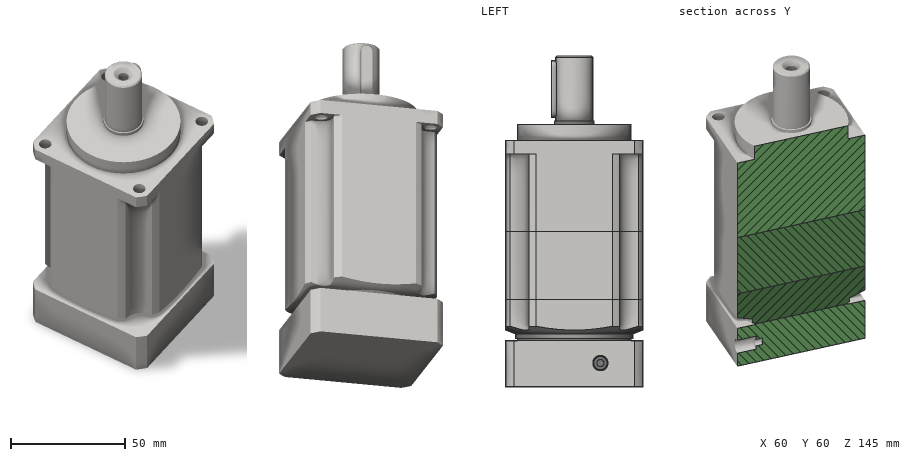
import cadquery as cq
import math

SQUARE = 60.0
HALF = SQUARE / 2
CORNER_RADIUS = 40.0
BODY_RADIUS = 34.4

ADAPTER_TOP = 20.3
NECK_STEP = 21.2
REAR_BOTTOM = 23.2
REAR_TOP = 38.3
RING_TOP = 68.2
FLANGE_BOTTOM = 102.0
FLANGE_TOP = 108.0
PILOT_TOP = 115.0
COLLAR_TOP = 116.6
SHAFT_TOP = 145.0

PILOT_RADIUS = 25.0
NECK_RADIUS = 25.7
THIN_NECK_RADIUS = 25.0
CONE_ANGLE = 21.0

HOLE_SPACING = 49.5
HOLE_DIAMETER = 5.5
GROOVE_RADIUS = 5.0

SHAFT_RADIUS = 8.1
COLLAR_RADIUS = 8.7
SHAFT_CHAMFER = 0.6
CENTRE_MOUTH_RADIUS = 4.4
CENTRE_CONE_RADIUS = 3.9
CENTRE_HOLE_RADIUS = 2.3
CENTRE_CONE_START = 0.3
CENTRE_CONE_END = 1.9
CENTRE_HOLE_DEPTH = 11.6
CENTRE_TIP_DEPTH = 13.0

KEY_WIDTH = 5.0
KEY_HEIGHT = 5.0
KEY_LENGTH = 25.0
KEY_BOTTOM = 118.0
KEY_OUTER_Y = 10.0

ACCESS_Y = -11.5
ACCESS_Z = 10.5
ACCESS_RADIUS = 3.3
ACCESS_DEPTH = 8.7
HEAD_BEVEL = 0.5
SOCKET_RADIUS = 1.6
SOCKET_DEPTH = 2.9


def cylinder(radius, bottom, top):
    return cq.Workplane("XY", origin=(0, 0, bottom)).circle(radius).extrude(top - bottom)


def trimmed_square(radius, bottom, top):
    """A square block whose corners are turned to the given radius."""
    block = cq.Workplane("XY", origin=(0, 0, bottom)).rect(SQUARE, SQUARE).extrude(top - bottom)
    return block.intersect(cylinder(radius, bottom, top))


def corner_grooves(bottom, top):
    """Round-bottomed grooves, open to the outside, along the four corners."""
    centre = HOLE_SPACING / 2
    inner = centre - GROOVE_RADIUS
    outer = SQUARE
    turn = GROOVE_RADIUS * math.sqrt(0.5)
    groove = (
        cq.Workplane("XY", origin=(0, 0, bottom))
        .moveTo(inner, outer)
        .lineTo(inner, centre)
        .threePointArc((centre - turn, centre - turn), (centre, inner))
        .lineTo(outer, inner)
        .lineTo(outer, outer)
        .close()
        .extrude(top - bottom)
    )
    grooves = groove
    for quarter in range(1, 4):
        grooves = grooves.union(groove.rotate((0, 0, 0), (0, 0, 1), 90 * quarter))
    return grooves


def grooved_body(bottom, top):
    return trimmed_square(BODY_RADIUS, bottom, top).cut(corner_grooves(bottom, top))


def make_front_housing():
    flange = trimmed_square(CORNER_RADIUS, FLANGE_BOTTOM, FLANGE_TOP)
    holes = (
        cq.Workplane("XY", origin=(0, 0, FLANGE_BOTTOM))
        .rect(HOLE_SPACING, HOLE_SPACING, forConstruction=True)
        .vertices()
        .circle(HOLE_DIAMETER / 2)
        .extrude(FLANGE_TOP - FLANGE_BOTTOM)
    )
    pilot = cylinder(PILOT_RADIUS, FLANGE_TOP, PILOT_TOP)
    return grooved_body(RING_TOP, FLANGE_BOTTOM).union(flange.cut(holes)).union(pilot)


def make_ring_gear():
    return grooved_body(REAR_TOP, RING_TOP)


def make_rear_housing():
    """Grooved block with a conical underside and a stepped round neck."""
    cone_rise = (BODY_RADIUS - NECK_RADIUS) * math.tan(math.radians(CONE_ANGLE))
    envelope = (
        cq.Workplane("XZ")
        .moveTo(0, REAR_BOTTOM)
        .lineTo(NECK_RADIUS, REAR_BOTTOM)
        .lineTo(BODY_RADIUS, REAR_BOTTOM + cone_rise)
        .lineTo(BODY_RADIUS, REAR_TOP)
        .lineTo(0, REAR_TOP)
        .close()
        .revolve(360, (0, 0, 0), (0, 1, 0))
    )
    block = grooved_body(REAR_BOTTOM, REAR_TOP).intersect(envelope)
    neck = cylinder(NECK_RADIUS, NECK_STEP, REAR_BOTTOM)
    thin_neck = cylinder(THIN_NECK_RADIUS, ADAPTER_TOP, NECK_STEP)
    return block.union(neck).union(thin_neck)


def access_hole():
    """Space in front of a bevelled screw head and inside its round socket."""
    return (
        cq.Workplane("XY", origin=(-HALF, ACCESS_Y, ACCESS_Z))
        .lineTo(0, ACCESS_RADIUS)
        .lineTo(ACCESS_DEPTH + HEAD_BEVEL, ACCESS_RADIUS)
        .lineTo(ACCESS_DEPTH, ACCESS_RADIUS - HEAD_BEVEL)
        .lineTo(ACCESS_DEPTH, SOCKET_RADIUS)
        .lineTo(ACCESS_DEPTH + SOCKET_DEPTH, SOCKET_RADIUS)
        .lineTo(ACCESS_DEPTH + SOCKET_DEPTH, 0)
        .close()
        .revolve(360, (0, 0, 0), (1, 0, 0))
    )


def make_adapter():
    return trimmed_square(CORNER_RADIUS, 0, ADAPTER_TOP).cut(access_hole())


def make_key():
    """Round-ended key lying along the +Y side of the shaft."""
    middle_z = KEY_BOTTOM + KEY_LENGTH / 2
    return (
        cq.Workplane("XZ", origin=(0, KEY_OUTER_Y, middle_z))
        .slot2D(KEY_LENGTH, KEY_WIDTH, 90)
        .extrude(KEY_HEIGHT)
    )


def centre_hole():
    """Bevelled mouth, conical seat and drilled hole in the end of the shaft."""
    return (
        cq.Workplane("XZ", origin=(0, 0, SHAFT_TOP))
        .lineTo(CENTRE_MOUTH_RADIUS, 0)
        .lineTo(CENTRE_CONE_RADIUS, -CENTRE_CONE_START)
        .lineTo(CENTRE_HOLE_RADIUS, -CENTRE_CONE_END)
        .lineTo(CENTRE_HOLE_RADIUS, -CENTRE_HOLE_DEPTH)
        .lineTo(0, -CENTRE_TIP_DEPTH)
        .close()
        .revolve(360, (0, 0, 0), (0, 1, 0))
    )


def make_shaft(key):
    """Collared shaft with a key seat and a centre hole in its end."""
    shaft = cylinder(SHAFT_RADIUS, COLLAR_TOP, SHAFT_TOP).faces(">Z").chamfer(SHAFT_CHAMFER)
    collar = cylinder(COLLAR_RADIUS, PILOT_TOP, COLLAR_TOP)
    return shaft.union(collar).cut(centre_hole()).cut(key)


front_housing = make_front_housing()
ring_gear = make_ring_gear()
rear_housing = make_rear_housing()
adapter = make_adapter()
key = make_key()
shaft = make_shaft(key)

result = cq.Compound.makeCompound([
    front_housing.val(),
    ring_gear.val(),
    rear_housing.val(),
    adapter.val(),
    key.val(),
    shaft.val(),
])